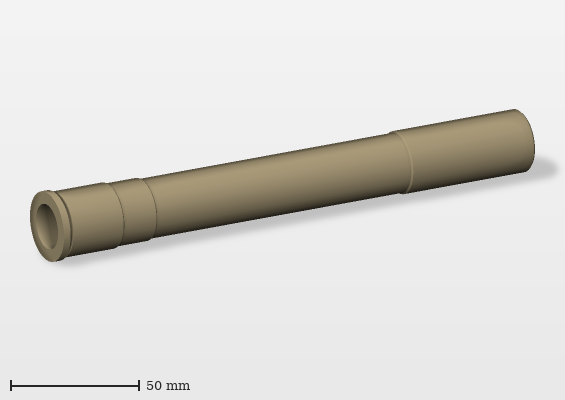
import cadquery as cq

length = 210.0
flange_end = 3.0
groove_end = 4.6
seat_end = 27.5
front_land_end = 42.5
rear_land_length = 55.0
rear_land_start = length - rear_land_length

flange_diameter = 28.0
seat_diameter = 26.2
land_diameter = 25.0
shank_diameter = 23.7
bore_diameter = 18.0

groove_wide_diameter = land_diameter
groove_narrow_diameter = shank_diameter

seat_chamfer = (seat_diameter - land_diameter) / 2
land_chamfer = (land_diameter - shank_diameter) / 2
end_chamfer = 0.8

outer_profile = [
    (flange_diameter, 0),
    (flange_diameter, flange_end),
    (groove_wide_diameter, flange_end),
    (groove_narrow_diameter, groove_end),
    (seat_diameter, groove_end),
    (seat_diameter, seat_end - seat_chamfer),
    (land_diameter, seat_end),
    (land_diameter, front_land_end - land_chamfer),
    (shank_diameter, front_land_end),
    (shank_diameter, rear_land_start),
    (land_diameter, rear_land_start + land_chamfer),
    (land_diameter, length - end_chamfer),
    (land_diameter - 2 * end_chamfer, length),
]

bore_profile = [(bore_diameter, length), (bore_diameter, 0)]

half_section = [
    (diameter / 2, station - length / 2)
    for diameter, station in outer_profile + bore_profile
]

result = (
    cq.Workplane("XY")
    .polyline(half_section)
    .close()
    .revolve(360, (0, 0, 0), (0, 1, 0))
)